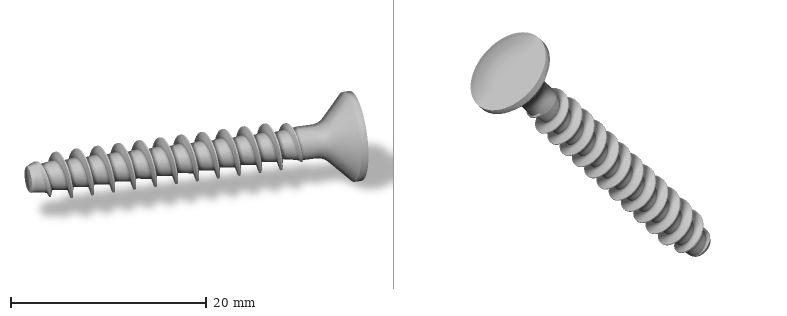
import cadquery as cq
import math

length = 35.0

head_radius = 4.65
rim_height = 0.77
shank_radius = 1.75
neck_fillet = 2.0
neck_half_turn = math.radians(45 / 2)
shank_end = 6.15

core_radius = 1.4
core_blend_end = 7.7
tip_radius = 1.33
tip_chamfer_length = 0.52
tip_chamfer_radius = 1.58

pitch = 2.25
crest_radius = 2.5
crest_width = 0.15
base_width = 0.65
root_high_radius = 1.6
root_overlap = 0.007
root_gap = 0.015
inner_radius = 1.12
thread_start = 5.88
full_thread_start = 8.12
full_thread_end = 31.65
thread_end = 35.55
start_crest_radius = 1.9
end_crest_radius = 1.65
fade_end = 34.3
start_angle = -90.0
points_per_turn = 16


def revolve_profile(profile):
    """Revolve a half profile in the XY plane about the screw axis."""
    return profile.close().revolve(360, (0, 0, 0), (0, 1, 0))


def make_body():
    """Countersunk head, filleted neck, shank and plain core."""
    cone_corner = rim_height + head_radius - shank_radius
    tangent = neck_fillet * math.tan(neck_half_turn)
    fillet_end = cone_corner + tangent
    cone_offset = tangent * math.sqrt(0.5)
    mid_rise = neck_fillet * math.sin(neck_half_turn)
    mid_reach = neck_fillet * math.cos(neck_half_turn)
    profile = (
        cq.Workplane("XY")
        .moveTo(0, length)
        .lineTo(head_radius, length)
        .lineTo(head_radius, length - rim_height)
        .lineTo(shank_radius + cone_offset, length - cone_corner + cone_offset)
        .threePointArc(
            (shank_radius + neck_fillet - mid_reach, length - fillet_end + mid_rise),
            (shank_radius, length - fillet_end),
        )
        .lineTo(shank_radius, length - shank_end)
        .lineTo(core_radius, length - core_blend_end)
        .lineTo(core_radius, 0)
        .lineTo(0, 0)
    )
    return revolve_profile(profile)


def crest_at(depth):
    """Crest radius: rising at the start, constant, then fading out to the tip."""
    if depth < full_thread_start:
        fraction = (depth - thread_start) / (full_thread_start - thread_start)
        return start_crest_radius + fraction * (crest_radius - start_crest_radius)
    fraction = (depth - full_thread_end) / (fade_end - full_thread_end)
    fraction = min(max(fraction, 0), 1)
    return crest_radius + fraction * (end_crest_radius - crest_radius)


def section_points(depth):
    """Corners of the thread and root section at one crest depth."""
    angle = math.radians(start_angle) + 2 * math.pi * (depth - thread_start) / pitch
    turn_end = pitch - root_gap - base_width / 2
    corners = [
        (inner_radius, -base_width / 2),
        (core_radius - root_overlap, -base_width / 2),
        (crest_at(depth), -crest_width / 2),
        (crest_at(depth), crest_width / 2),
        (root_high_radius, base_width / 2),
        (core_radius - root_overlap, turn_end),
        (inner_radius, turn_end),
    ]
    return [
        cq.Vector(r * math.cos(angle), length - depth - offset, r * math.sin(angle))
        for r, offset in corners
    ]


def make_thread():
    """One solid bounded by ruled helical faces and flat end caps."""
    faces = []
    stations = [thread_start, full_thread_start, full_thread_end, fade_end, thread_end]
    for begin, end in zip(stations, stations[1:]):
        steps = math.ceil((end - begin) / pitch * points_per_turn)
        sections = [section_points(begin + (end - begin) * i / steps) for i in range(steps + 1)]
        edges = [cq.Edge.makeSpline(list(path)) for path in zip(*sections)]
        for edge, next_edge in zip(edges, edges[1:] + edges[:1]):
            faces.append(cq.Face.makeRuledSurface(edge, next_edge))
    for depth in (thread_start, thread_end):
        outline = cq.Wire.makePolygon(section_points(depth), close=True)
        faces.append(cq.Face.makeFromWires(outline))
    return cq.Workplane(obj=cq.Solid.makeSolid(cq.Shell.makeShell(faces)))


def make_envelope():
    """Space that squares off the tip and bevels its edge."""
    profile = (
        cq.Workplane("XY")
        .lineTo(tip_radius, 0)
        .lineTo(tip_chamfer_radius, tip_chamfer_length)
        .lineTo(head_radius, tip_chamfer_length)
        .lineTo(head_radius, length)
        .lineTo(0, length)
    )
    return revolve_profile(profile)


result = make_body().union(make_thread()).intersect(make_envelope())